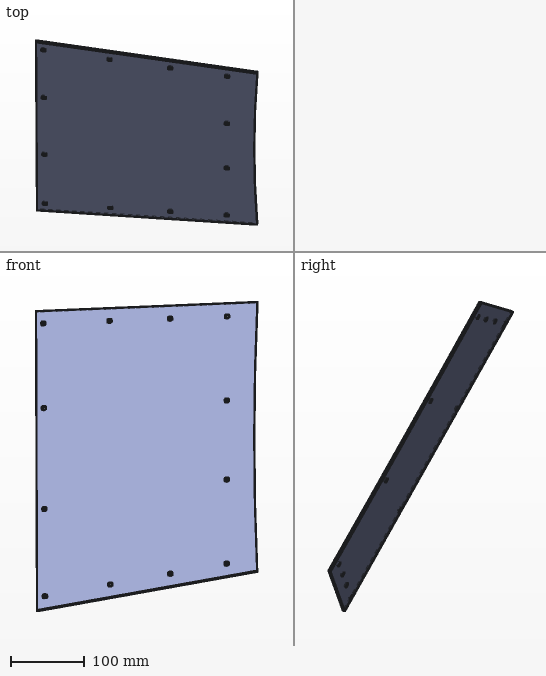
import cadquery as cq
import math

yaw_angle = 9.4
lean_angle = 29.0
thickness = 3.0
face_offset_y = -13.0

top_left = (-171.0, 226.5)
top_right = (133.5, 240.5)
bottom_right = (166.5, -177.5)
bottom_left = (-132.0, -239.0)
right_edge_sag = 4.0

hole_diameter = 6.0
hole_top_left = (-159.0, 207.5)
hole_top_right = (93.5, 218.5)
hole_bottom_right = (123.5, -166.0)
hole_bottom_left = (-123.0, -217.0)
across_fractions = (0.36, 0.69)
left_fractions = (0.31, 0.68)
right_fractions = (0.34, 0.66)


def point_between(start, end, fraction):
    """Point at a fraction of the way from start to end."""
    return tuple(s + fraction * (e - s) for s, e in zip(start, end))


def panel_plane():
    """Plane of the front face, with its normal pointing forward and up."""
    yaw = math.radians(yaw_angle)
    lean = math.radians(lean_angle)
    across = (math.cos(yaw), -math.sin(yaw), 0)
    normal = (
        -math.sin(yaw) * math.cos(lean),
        -math.cos(yaw) * math.cos(lean),
        math.sin(lean),
    )
    return cq.Plane(origin=(0, face_offset_y, 0), xDir=across, normal=normal)


def right_edge_middle():
    """Middle point of the right edge, moved inward by the sag."""
    edge_x = bottom_right[0] - top_right[0]
    edge_y = bottom_right[1] - top_right[1]
    edge_length = math.hypot(edge_x, edge_y)
    middle_x, middle_y = point_between(top_right, bottom_right, 0.5)
    return (
        middle_x + right_edge_sag * edge_y / edge_length,
        middle_y - right_edge_sag * edge_x / edge_length,
    )


def hole_centers():
    """Centers of the corner holes and of those along the four sides."""
    centers = [hole_top_left, hole_top_right, hole_bottom_right, hole_bottom_left]
    sides = [
        (hole_top_left, hole_top_right, across_fractions),
        (hole_bottom_left, hole_bottom_right, across_fractions),
        (hole_top_left, hole_bottom_left, left_fractions),
        (hole_top_right, hole_bottom_right, right_fractions),
    ]
    for start, end, fractions in sides:
        for fraction in fractions:
            centers.append(point_between(start, end, fraction))
    return centers


front_face = panel_plane()

panel = (
    cq.Workplane(front_face)
    .moveTo(*top_left)
    .lineTo(*top_right)
    .threePointArc(right_edge_middle(), bottom_right)
    .lineTo(*bottom_left)
    .close()
    .extrude(-thickness)
)

holes = (
    cq.Workplane(front_face)
    .pushPoints(hole_centers())
    .circle(hole_diameter / 2)
    .extrude(-thickness)
)

result = panel.cut(holes)